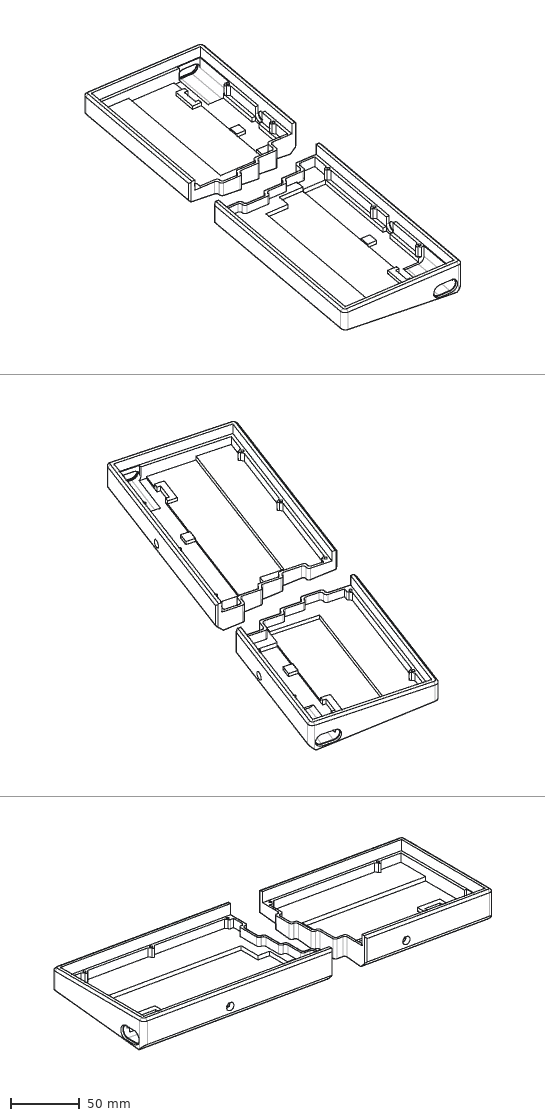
import cadquery as cq
import math


TOTAL_LENGTH = 326.7
DEPTH = 106.2
HEIGHT = 27.0

BOTTOM_TILT = math.radians(5)
BACK_CHAMFER = 6.0
CORNER_RADIUS = 4.0
TOP_CHAMFER = 2.0
BOTTOM_CHAMFER = 1.0
END_CHAMFER = 1.3

RIM_WIDTH = 4.5
WALL = 7.2
STEP_WALL = 2.0
STEP_RADIUS = 2.3
LEDGE_Z = 18.0
FLOOR_Z = 10.5
BACK_FLOOR_Z = 9.0
MIDDLE_Z = 7.0
BACK_Z = 5.2

KEY_PITCH = 19.3
FIRST_STEP_Y = 82.3
STEP_YS = [FIRST_STEP_Y - row * KEY_PITCH for row in range(4)]

MIDDLE_FRONT_Y = 36.0
MIDDLE_BACK_Y = 76.5
POCKET_BACK_Y = 96.0

SLOT_LENGTH = 20.0
SLOT_HEIGHT = 10.0
MOUTH_DEPTH = 2.0
MOUTH_MARGIN = 0.5
SLOT_INSET = 5.2
SLOT_BACK_Y = DEPTH - SLOT_INSET
SLOT_BOTTOM_Z = 3.5
CHANNEL_END_X = 41.2

BLOCK_X = 81.5
BLOCK_WIDTH = 8.5
BLOCK_BACK_Y = 84.3
BLOCK_TOP_Z = 8.2
SOCKET_DIAMETER = 6.5
SOCKET_Z = 11.5

CLIP_X = 20.3
CLIP_LENGTH = 21.0
CLIP_FRONT_Y = 68.5
CLIP_HEIGHT = 3.0
NOTCH_X = 24.2
NOTCH_LENGTH = 13.7
NOTCH_FRONT_Y = 73.5

RIB_ROOT_WIDTH = 6.2
RIB_REACH = 3.3
NOSE_WIDTH = 2.3
SCREW_DIAMETER = 2.2

NEAR = 0.3

LEFT_STEP_XS = [119.2, 129.0, 134.0, 139.0, 134.0]
LEFT_BACK_RIBS = [43.0, 100.0]
LEFT_FRONT_RIBS = [28.7, 128.7]
LEFT_BACK_POCKET_X = 110.5
LEFT_MIDDLE_POCKET_X = 122.2

RIGHT_STEP_XS = [177.0, 168.0, 163.0, 158.0, 163.0]
RIGHT_BACK_RIBS = [44.0, 100.5, 158.0]
RIGHT_FRONT_RIBS = [24.8, 87.0, 158.0]
RIGHT_BACK_POCKET_X = 157.5
RIGHT_MIDDLE_POCKET_X = 158.5
RIGHT_KEEP_X = 147.7
RIGHT_KEEP_Y = 55.5


def box(x0, x1, y0, y1, z0, z1):
    """A box between two opposite corners."""
    return cq.Workplane("XY").box(x1 - x0, y1 - y0, z1 - z0, centered=False).translate((x0, y0, z0))


def wedge_blank(length):
    """The wedge-shaped blank with its rounded outer corners and edge chamfers."""
    low_y = DEPTH - BACK_CHAMFER
    front_z = low_y * math.tan(BOTTOM_TILT)
    profile = [(0, HEIGHT), (0, front_z), (low_y, 0), (DEPTH, BACK_CHAMFER), (DEPTH, HEIGHT)]
    blank = cq.Workplane("YZ").polyline(profile).close().extrude(length)
    blank = blank.edges("|Z and <X").fillet(CORNER_RADIUS)
    blank = blank.faces(">Z").edges("not >X").chamfer(TOP_CHAMFER)
    tilted_bottom = blank.faces(cq.selectors.NearestToPointSelector((length / 2, low_y / 2, front_z / 2)))
    return tilted_bottom.edges("<X or <Y").chamfer(BOTTOM_CHAMFER)


def stepped_area(step_xs, inset):
    """Everything on the outer side of the stepped end, drawn back by the inset."""
    ys = [2 * DEPTH] + STEP_YS + [-DEPTH]
    points = [(-DEPTH, -DEPTH), (-DEPTH, 2 * DEPTH)]
    for x, back_y, front_y in zip(step_xs, ys, ys[1:]):
        points += [(x, back_y), (x, front_y)]
    outline = cq.Workplane("XY").polyline(points).close()
    if inset:
        outline = outline.offset2D(-inset, "intersection")
    area = outline.extrude(HEIGHT)
    step_edges = cq.selectors.BoxSelector((0, 0, 0), (TOTAL_LENGTH, DEPTH, HEIGHT))
    return area.edges("|Z").edges(step_edges).fillet(STEP_RADIUS)


def plate_opening(length):
    """The opening above the ledge, running out through the stepped end."""
    return box(RIM_WIDTH, length, RIM_WIDTH, DEPTH - RIM_WIDTH, LEDGE_Z, HEIGHT)


def lower_cavity(step_xs):
    """The space between the ledge and the main and back floors."""
    room = box(WALL, max(step_xs), WALL, DEPTH - WALL, FLOOR_Z, LEDGE_Z)
    room = room.union(box(WALL, max(step_xs), MIDDLE_BACK_Y, DEPTH - WALL, BACK_FLOOR_Z, LEDGE_Z))
    return room.intersect(stepped_area(step_xs, STEP_WALL))


def middle_pocket(end_x):
    """The middle pocket, from the outer wall to end_x."""
    return box(WALL, end_x, MIDDLE_FRONT_Y, MIDDLE_BACK_Y, MIDDLE_Z, FLOOR_Z)


def cable_slot():
    """The slot through the outer end, its channel and the cleared space above the channel."""
    slot_y = SLOT_BACK_Y - SLOT_LENGTH / 2
    slot_z = SLOT_BOTTOM_Z + SLOT_HEIGHT / 2
    channel = cq.Workplane("YZ").center(slot_y, slot_z).slot2D(SLOT_LENGTH, SLOT_HEIGHT).extrude(CHANNEL_END_X)
    mouth = (
        cq.Workplane("YZ")
        .center(slot_y, slot_z)
        .slot2D(SLOT_LENGTH + 2 * MOUTH_MARGIN, SLOT_HEIGHT + 2 * MOUTH_MARGIN)
        .extrude(MOUTH_DEPTH)
    )
    clearance = box(SLOT_INSET, CHANNEL_END_X, SLOT_BACK_Y - SLOT_LENGTH, SLOT_BACK_Y, slot_z, LEDGE_Z)
    return channel.union(mouth).union(clearance)


def back_socket():
    """The gap in the back ledge, the round-bottomed seat behind it and the hole through the wall."""
    left = BLOCK_X - BLOCK_WIDTH / 2
    gap = box(left, left + BLOCK_WIDTH, POCKET_BACK_Y, DEPTH - WALL, BACK_Z, LEDGE_Z)
    wall_face_y = DEPTH - RIM_WIDTH
    seat = (
        cq.Workplane("XZ", origin=(BLOCK_X, wall_face_y, SOCKET_Z))
        .circle(BLOCK_WIDTH / 2)
        .extrude(WALL - RIM_WIDTH)
    )
    opening = box(left, left + BLOCK_WIDTH, DEPTH - WALL, wall_face_y, SOCKET_Z, LEDGE_Z)
    hole = (
        cq.Workplane("XZ", origin=(BLOCK_X, DEPTH, SOCKET_Z))
        .circle(SOCKET_DIAMETER / 2)
        .extrude(WALL)
    )
    return gap.union(seat).union(opening).union(hole)


def clip():
    """The block of the U-shaped clip, standing on the middle floor."""
    top = MIDDLE_Z + CLIP_HEIGHT
    return box(CLIP_X, CLIP_X + CLIP_LENGTH, CLIP_FRONT_Y, MIDDLE_BACK_Y, MIDDLE_Z, top)


def clip_notch():
    """The mouth of the clip, level with the floor of the back pocket it opens into."""
    top = MIDDLE_Z + CLIP_HEIGHT
    return box(NOTCH_X, NOTCH_X + NOTCH_LENGTH, NOTCH_FRONT_Y, MIDDLE_BACK_Y, BACK_Z, top)


def rib(x, root_y, toward):
    """One tapered rib at x; toward is +1 when it points to +Y and -1 when it points to -Y."""
    root = RIB_ROOT_WIDTH / 2
    nose = NOSE_WIDTH / 2
    tip_y = root_y + toward * RIB_REACH
    shoulder_y = tip_y - toward * nose
    return (
        cq.Workplane("XY", origin=(0, 0, BACK_FLOOR_Z))
        .moveTo(x - root, root_y)
        .lineTo(x - nose, shoulder_y)
        .threePointArc((x, tip_y), (x + nose, shoulder_y))
        .lineTo(x + root, root_y)
        .close()
        .extrude(LEDGE_Z - BACK_FLOOR_Z)
    )


def screw_holes(points):
    """Blind screw holes, from the ledge down to the main floor level."""
    holes = cq.Workplane("XY", origin=(0, 0, FLOOR_Z)).pushPoints(points)
    return holes.circle(SCREW_DIAMETER / 2).extrude(LEDGE_Z - FLOOR_Z)


def tray(step_xs, back_ribs, front_ribs, back_pocket_x, middle_space):
    """One half of the case, with its outer end at X = 0."""
    length = max(step_xs)
    body = wedge_blank(length).intersect(stepped_area(step_xs, 0))
    for x, y in [(step_xs[0], DEPTH), (step_xs[-1], 0)]:
        wall_end = cq.selectors.BoxSelector((x - NEAR, y - NEAR, 0), (x + NEAR, y + NEAR, HEIGHT))
        body = body.edges("|Z").edges(wall_end).chamfer(END_CHAMFER)

    body = body.cut(plate_opening(length)).cut(lower_cavity(step_xs))

    for x in back_ribs:
        body = body.union(rib(x, DEPTH - WALL, -1))
    for x in front_ribs:
        body = body.union(rib(x, WALL, 1))
    corner = box(max(front_ribs), length, RIM_WIDTH, WALL + RIB_REACH, BACK_FLOOR_Z, LEDGE_Z)
    body = body.union(corner.intersect(stepped_area(step_xs, 0)))
    screws = [(x, DEPTH - WALL) for x in back_ribs] + [(x, WALL) for x in front_ribs]
    body = body.cut(screw_holes(screws))

    body = body.cut(box(WALL, back_pocket_x, MIDDLE_BACK_Y, POCKET_BACK_Y, BACK_Z, BACK_FLOOR_Z))
    body = body.cut(middle_space)
    body = body.cut(cable_slot()).cut(back_socket())

    left = BLOCK_X - BLOCK_WIDTH / 2
    block = box(left, left + BLOCK_WIDTH, MIDDLE_BACK_Y, BLOCK_BACK_Y, BACK_Z, BLOCK_TOP_Z)
    return body.union(block).union(clip()).cut(clip_notch())


left_tray = tray(
    LEFT_STEP_XS, LEFT_BACK_RIBS, LEFT_FRONT_RIBS, LEFT_BACK_POCKET_X, middle_pocket(LEFT_MIDDLE_POCKET_X)
)

kept_floor = box(RIGHT_KEEP_X, RIGHT_MIDDLE_POCKET_X, MIDDLE_FRONT_Y, RIGHT_KEEP_Y, MIDDLE_Z, FLOOR_Z)
right_tray = tray(
    RIGHT_STEP_XS, RIGHT_BACK_RIBS, RIGHT_FRONT_RIBS, RIGHT_BACK_POCKET_X,
    middle_pocket(RIGHT_MIDDLE_POCKET_X).cut(kept_floor),
)
right_tray = right_tray.mirror("YZ").translate((TOTAL_LENGTH, 0, 0))

result = cq.Compound.makeCompound([left_tray.val(), right_tray.val()])